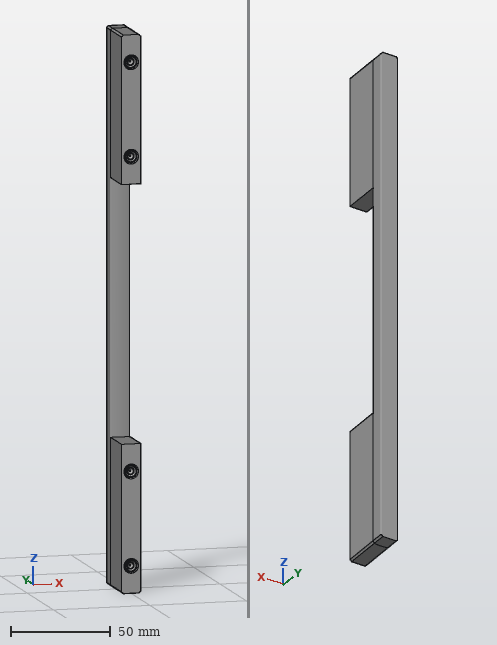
import cadquery as cq
import math

WIDTH = 10.0
LENGTH = 284.0
OVERALL_DEPTH = 28.89
BLOCK_LENGTH = 76.0
BLOCK_SIDE_DEPTH = 21.25
BAR_FRONT_RADIUS = 20.0
BAR_CORNER_RADIUS = 0.5
END_CHAMFER = 1.0

RECESS_END_DISTANCE = 14.0
MOUTH_RADIUS = 3.75
SHELF_OUTER_RADIUS = 3.2
SHELF_INNER_RADIUS = 2.7
FLOOR_OUTER_RADIUS = 1.9
FLOOR_INNER_RADIUS = 1.5
DIMPLE_RADIUS = 0.4

HALF_WIDTH = WIDTH / 2
BAR_BULGE = BAR_FRONT_RADIUS - math.sqrt(BAR_FRONT_RADIUS**2 - HALF_WIDTH**2)
BAR_CREST_Y = BLOCK_SIDE_DEPTH - BAR_BULGE
BLOCK_STARTS = (0.0, LENGTH - BLOCK_LENGTH)
RECESS_OFFSETS = (RECESS_END_DISTANCE, BLOCK_LENGTH - RECESS_END_DISTANCE)


def extrude_between_seam_and(flat_y, start_z, length):
    """Prism between the arc seam shared by bar and blocks and a flat face at flat_y."""
    return (
        cq.Workplane("XY", origin=(0, 0, start_z))
        .moveTo(-HALF_WIDTH, flat_y)
        .lineTo(-HALF_WIDTH, BLOCK_SIDE_DEPTH)
        .threePointArc((0, BAR_CREST_Y), (HALF_WIDTH, BLOCK_SIDE_DEPTH))
        .lineTo(HALF_WIDTH, flat_y)
        .close()
        .extrude(length)
    )


def bevel_end_sides(body):
    """Trim the body to the overall envelope, whose side edges are bevelled at both Z ends."""
    envelope = (
        cq.Workplane("XY")
        .box(WIDTH, OVERALL_DEPTH, LENGTH, centered=(True, False, False))
        .edges("|Y")
        .chamfer(END_CHAMFER)
    )
    return body.intersect(envelope).solids()


def make_bar():
    """Full-length bar with a flat back, a front that bulges as an arc, and rounded long edges."""
    bar = extrude_between_seam_and(OVERALL_DEPTH, 0, LENGTH)
    bar = bar.edges("|Z").fillet(BAR_CORNER_RADIUS)
    return bevel_end_sides(bar)


def make_screw_recess(z):
    """Round recess along +Y: bevelled mouth, shelf, cone, floor and central dimple."""
    shelf_depth = MOUTH_RADIUS - SHELF_OUTER_RADIUS
    floor_depth = shelf_depth + SHELF_INNER_RADIUS - FLOOR_OUTER_RADIUS
    dimple_depth = floor_depth + FLOOR_INNER_RADIUS - DIMPLE_RADIUS
    half_profile = [
        (0, 0),
        (MOUTH_RADIUS, 0),
        (SHELF_OUTER_RADIUS, shelf_depth),
        (SHELF_INNER_RADIUS, shelf_depth),
        (FLOOR_OUTER_RADIUS, floor_depth),
        (FLOOR_INNER_RADIUS, floor_depth),
        (DIMPLE_RADIUS, dimple_depth),
        (0, dimple_depth),
    ]
    recess = cq.Workplane("XY").polyline(half_profile).close().revolve(360, (0, 0, 0), (0, 1, 0))
    return recess.translate((0, 0, z))


def make_block(start_z):
    """End block whose back is hollowed to seat the bar's front, with two screw recesses."""
    block = extrude_between_seam_and(0, start_z, BLOCK_LENGTH)
    for offset in RECESS_OFFSETS:
        block = block.cut(make_screw_recess(start_z + offset))
    return bevel_end_sides(block)


bar = make_bar()
blocks = [make_block(start_z) for start_z in BLOCK_STARTS]

result = cq.Compound.makeCompound([bar.val(), *[block.val() for block in blocks]])